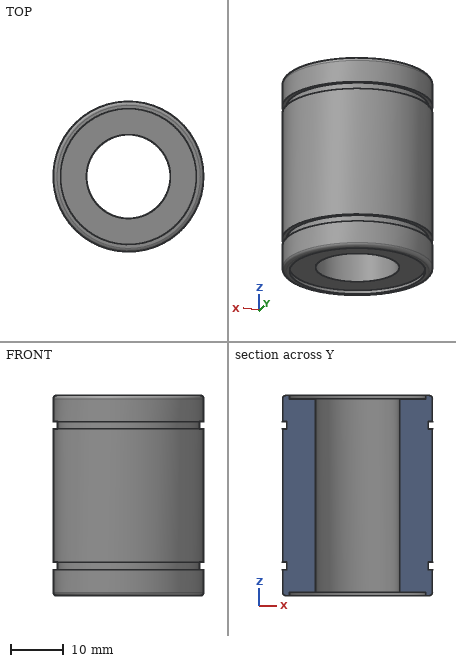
import cadquery as cq

outer_diameter = 28.575
bore_diameter = 15.875
length = 38.1
edge_radius = 0.7

groove_diameter = 27.0
groove_width = 1.4
groove_end_distance = 5.0

recess_diameter = 25.8
recess_depth = 0.7


def disc(diameter, height, bottom):
    """Solid cylinder on the Z axis, starting at the given level."""
    return cq.Workplane("XY").workplane(offset=bottom).circle(diameter / 2).extrude(height)


def groove(bottom):
    """Ring to be cut from the outside of the sleeve."""
    return disc(outer_diameter, groove_width, bottom).cut(disc(groove_diameter, groove_width, bottom))


half_length = length / 2
result = disc(outer_diameter, length, -half_length).edges("%CIRCLE").fillet(edge_radius)

result = result.cut(disc(bore_diameter, length, -half_length))

upper_groove_bottom = half_length - groove_end_distance - groove_width
lower_groove_bottom = -half_length + groove_end_distance
for groove_bottom in (upper_groove_bottom, lower_groove_bottom):
    result = result.cut(groove(groove_bottom))

for recess_bottom in (half_length - recess_depth, -half_length):
    result = result.cut(disc(recess_diameter, recess_depth, recess_bottom))